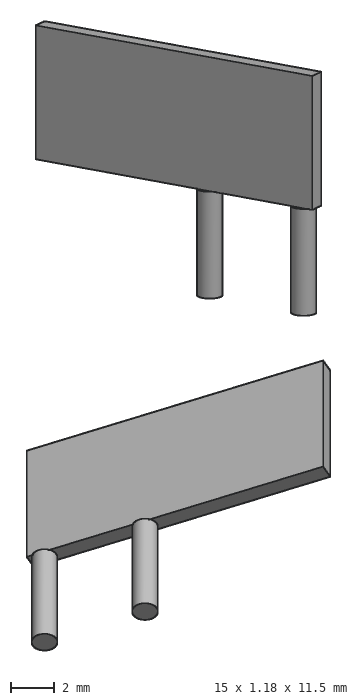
import cadquery as cq

board_length = 14.99
board_thickness = 0.8
board_height = 6.42

overall_height = 11.53
pin_diameter = 1.18
pin_length = overall_height - board_height
pin_pitch = 5.08
first_pin_x = 9.19
pin_count = 2


def make_board():
    """Flat rectangular board standing on edge above the pins."""
    return cq.Workplane("XY").box(
        board_length, board_thickness, board_height, centered=(False, True, False)
    )


def make_pin(x):
    """Straight round pin hanging from the lower edge of the board."""
    return cq.Workplane("XY").center(x, 0).circle(pin_diameter / 2).extrude(-pin_length)


board = make_board()

pins = []
for index in range(pin_count):
    pin = make_pin(first_pin_x + index * pin_pitch)
    pins.append(pin.val())

result = cq.Compound.makeCompound([board.val(), *pins])